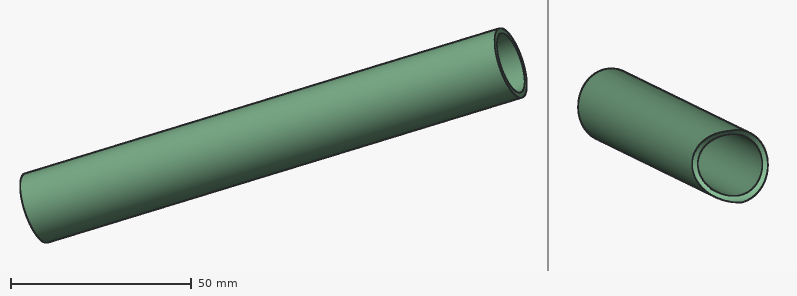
import cadquery as cq

outer_radius = 10.1
wall = 1.5
run_x = 151.7
run_y = 67.9
rise_z = 145.8

foot = cq.Vector(0, 0, 0)
head = cq.Vector(run_x, run_y, rise_z)
axis_length = head.Length
axis = head.normalized()
pipe_direction = cq.Vector(0, 1, 0)

overrun = 5 * outer_radius
cutter_size = 20 * outer_radius


def make_tube():
    length = axis_length + overrun
    outside = cq.Solid.makeCylinder(outer_radius, length, foot, axis)
    bore = cq.Solid.makeCylinder(outer_radius - wall, length, foot, axis)
    return cq.Workplane(obj=outside.cut(bore))


def make_saddle_cutter():
    """Pipe of the tube's own outer radius, centred on the foot and parallel to Y."""
    start = foot - pipe_direction * (cutter_size / 2)
    return cq.Workplane(obj=cq.Solid.makeCylinder(outer_radius, cutter_size, start, pipe_direction))


def make_mitre_cutter():
    """Block beyond the plane that bisects the tube axis and the Y direction."""
    mitre_plane = cq.Plane(origin=head, normal=axis + pipe_direction)
    return cq.Workplane(mitre_plane).rect(cutter_size, cutter_size).extrude(cutter_size)


result = make_tube().cut(make_saddle_cutter()).cut(make_mitre_cutter())